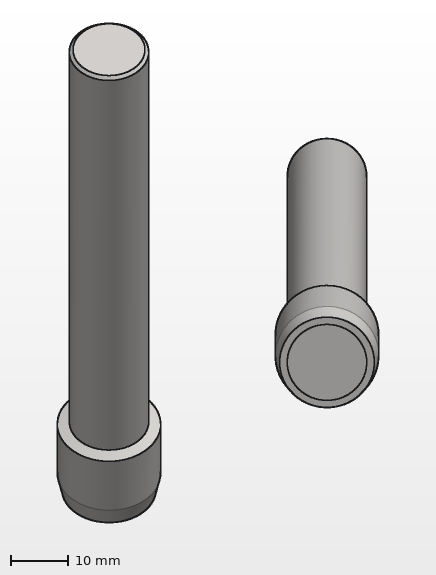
import cadquery as cq

total_length = 110.0

pin_radius = 13.9 / 2
pin_chamfer_width = 0.7
pin_chamfer_height = 0.5

collar_radius = 18.0 / 2
collar_height = 16.8
collar_top_slope_height = 0.7
nose_height = 4.0
nose_end_radius = 8.2


def make_pin():
    """Full-length rod with a chamfered upper end."""
    return (
        cq.Workplane("XZ")
        .lineTo(pin_radius, 0)
        .lineTo(pin_radius, total_length - pin_chamfer_height)
        .lineTo(pin_radius - pin_chamfer_width, total_length)
        .lineTo(0, total_length)
        .close()
        .revolve(360, (0, 0, 0), (0, 1, 0))
    )


def make_collar():
    """Ring with a conical nose and a sloping upper face; its bore fits the pin."""
    return (
        cq.Workplane("XZ")
        .moveTo(pin_radius, 0)
        .lineTo(nose_end_radius, 0)
        .lineTo(collar_radius, nose_height)
        .lineTo(collar_radius, collar_height - collar_top_slope_height)
        .lineTo(pin_radius, collar_height)
        .close()
        .revolve(360, (0, 0, 0), (0, 1, 0))
    )


pin = make_pin()
collar = make_collar()

result = cq.Compound.makeCompound([pin.val(), collar.val()])